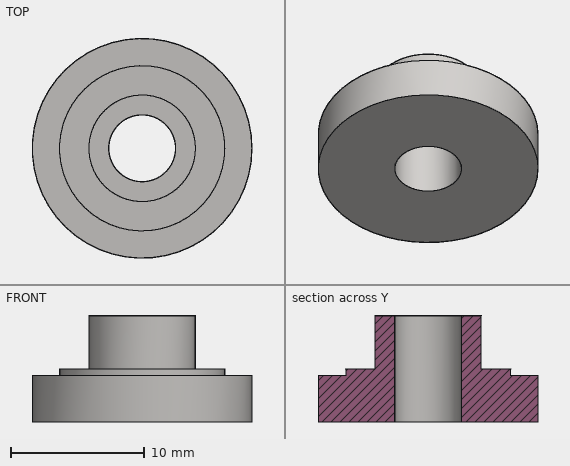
import cadquery as cq

flange_diameter = 16.5
flange_thickness = 3.5
collar_diameter = 12.4
collar_height = 0.5
hub_diameter = 8.0
hub_height = 4.0
bore_diameter = 5.0


def add_step(body, diameter, height):
    """Stack a concentric cylinder on the top face of the body."""
    return body.faces(">Z").workplane().circle(diameter / 2).extrude(height)


def cut_bore(body):
    """Cut the central bore through the full height."""
    return body.faces(">Z").workplane().circle(bore_diameter / 2).cutThruAll()


flange = cq.Workplane("XY").circle(flange_diameter / 2).extrude(flange_thickness)
with_collar = add_step(flange, collar_diameter, collar_height)
with_hub = add_step(with_collar, hub_diameter, hub_height)

result = cut_bore(with_hub)